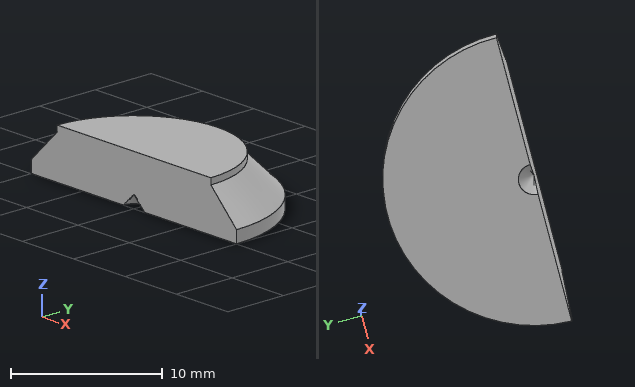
import cadquery as cq

base_radius = 10.0
top_radius = 7.5
total_height = 4.0
base_rim_height = 1.0
top_rim_height = 0.5

dimple_radius = 1.05
dimple_depth = 1.0

HALF_TURN = 180

cone_top = total_height - top_rim_height

section = (
    cq.Workplane("XZ")
    .moveTo(0, dimple_depth)
    .lineTo(dimple_radius, 0)
    .lineTo(base_radius, 0)
    .lineTo(base_radius, base_rim_height)
    .lineTo(top_radius, cone_top)
    .lineTo(top_radius, total_height)
    .lineTo(0, total_height)
    .close()
)

result = section.revolve(HALF_TURN, (0, 0, 0), (0, 1, 0))